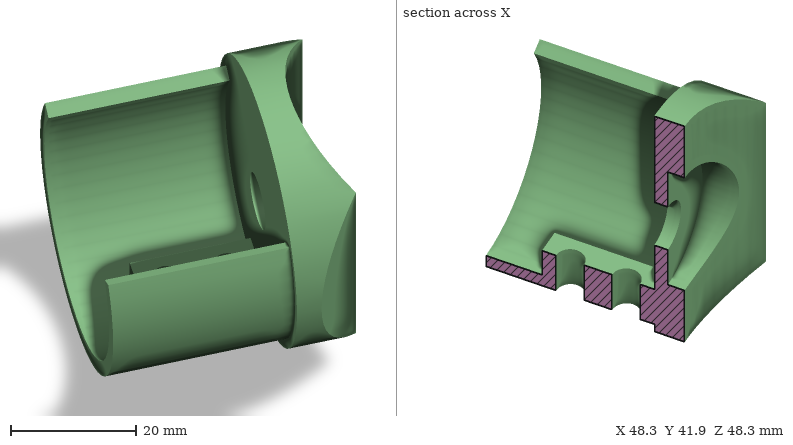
import cadquery as cq
import math

flange_radius = 24.15
saddle_radius = flange_radius
saddle_floor = 5.4
flange_height = 11.85
saddle_center = saddle_floor + saddle_radius
tip_half_width = math.sqrt(saddle_radius**2 - (saddle_center - flange_height) ** 2)
bevel_size = flange_radius - tip_half_width
bevel_start = flange_height - bevel_size

tube_length = 30.0
tube_outer_radius = 22.5
tube_inner_radius = 20.0
opening_angle = 120.0

center_hole_diameter = 9.5
recess_diameter = 25.1
recess_floor = 2.4

block_width = 9.0
block_length = 20.0
block_top = -14.6
screw_hole_diameter = 4.97
screw_hole_distances = (5.0, 15.0)

clearance = 4.85


def cylinder_along_y(radius, y_start, length):
    """Solid cylinder about the Y axis, running from y_start towards +Y."""
    plane = cq.Plane(origin=(0, y_start, 0), xDir=(1, 0, 0), normal=(0, 1, 0))
    return cq.Workplane(plane).circle(radius).extrude(length)


def make_flange():
    """Round flange with a saddle along Z and a 45 degree bevel on each X side."""
    cut_height = 2 * (flange_radius + clearance)
    flange = cylinder_along_y(flange_radius, 0, flange_height)
    saddle = (
        cq.Workplane("XY", origin=(0, saddle_center, -cut_height / 2))
        .circle(saddle_radius)
        .extrude(cut_height)
    )
    flange = flange.cut(saddle)

    for side in (-1, 1):
        bevel = (
            cq.Workplane("XY", origin=(0, 0, -cut_height / 2))
            .moveTo(side * (flange_radius + clearance), bevel_start - clearance)
            .lineTo(side * (tip_half_width - clearance), flange_height + clearance)
            .lineTo(side * (flange_radius + clearance), flange_height + clearance)
            .close()
            .extrude(cut_height)
        )
        flange = flange.cut(bevel)
    return flange


def make_tube():
    """Thin tube towards -Y, open over a sector at the top with radial edges."""
    tube = cylinder_along_y(tube_outer_radius, -tube_length, tube_length)
    bore = cylinder_along_y(tube_inner_radius, -tube_length, tube_length)
    reach = 2 * tube_outer_radius + clearance
    opening = (
        cq.Workplane("XZ")
        .polarLine(reach, 90 - opening_angle / 2)
        .polarLineTo(reach, 90 + opening_angle / 2)
        .close()
        .extrude(tube_length)
    )
    return tube.cut(bore).cut(opening)


def make_block():
    """Screw block on the tube floor, its underside following the tube wall."""
    block = cq.Workplane("XY").box(
        block_width, block_length, tube_outer_radius + block_top, centered=(True, False, False)
    ).translate((0, -block_length, -tube_outer_radius))
    return block.intersect(cylinder_along_y(tube_outer_radius, -block_length, block_length))


recess = cylinder_along_y(recess_diameter / 2, recess_floor, flange_height)
center_hole = cylinder_along_y(center_hole_diameter / 2, 0, flange_height)

screw_holes = (
    cq.Workplane("XY", origin=(0, 0, block_top))
    .pushPoints([(0, -distance) for distance in screw_hole_distances])
    .circle(screw_hole_diameter / 2)
    .extrude(-(tube_outer_radius + block_top + clearance))
)

body = make_flange().union(make_tube()).union(make_block())
result = body.cut(recess).cut(center_hole).cut(screw_holes)